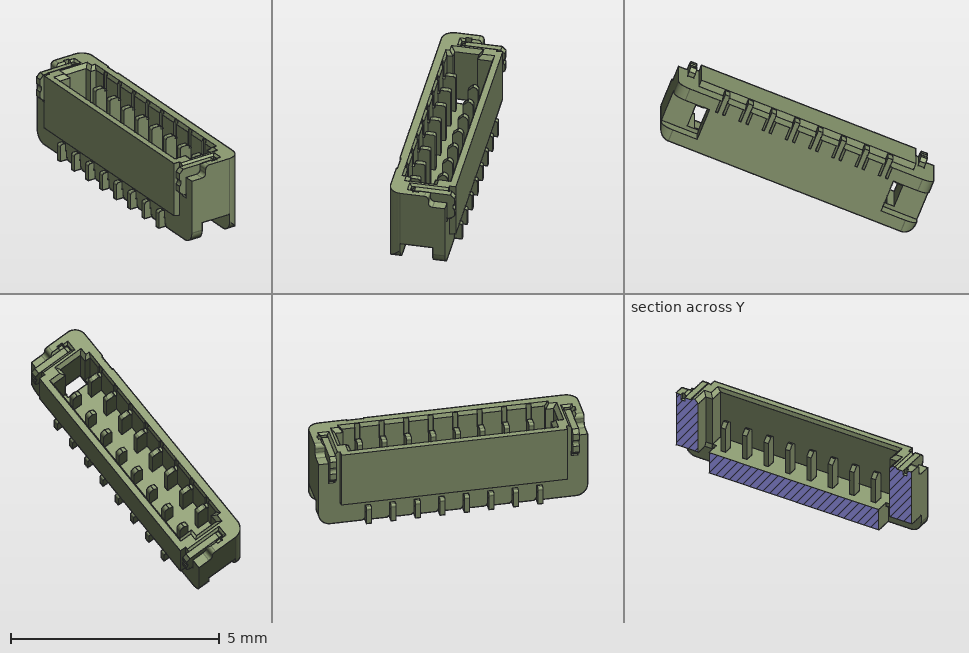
import cadquery as cq

length = 6.6
height = 2.0
half_length = length / 2
body_depth = 1.39
corner_radius = 0.3

shroud_depth = 1.55
shroud_half_length = 2.77
shroud_bottom = 0.595
shroud_bottom_draft = 0.03

cavity_floor = 0.6
cavity_half_length = 2.48
cavity_rear = 0.245
cavity_front = 1.35
end_recess_half_length = 2.67
end_recess_rear = 0.395
end_recess_front = 0.99
end_lead_in = 0.1
rear_lead_in = 0.045
front_lead_in = 0.04
lead_in_height = 0.1
end_lip_width = 0.04

notch_inner_x = 2.375
notch_top = 0.495
notch_rear = corner_radius
notch_front = 1.09

contact_count = 8
contact_pitch = 0.6
contact_width = 0.125
contact_round = 0.06
contact_root = 0.395
rear_contact_rear = 0.205
rear_contact_blade = 0.285
rear_contact_ledge_drop = 0.1
rear_contact_front = 0.55
rear_contact_top = 1.63
front_contact_rear = 0.85
front_contact_front = 1.095
front_contact_top = 1.385
front_contact_rise = 0.12
front_contact_round = 0.12

tail_front = 1.58
tail_top = 0.45
tail_rear_chamfer = 0.02
tail_gap = 0.025
tail_gap_bottom = 0.24
tail_flare = 0.06

tab_inner_x = 2.9
tab_outer_x = 3.055
tab_rear = 0.495
tab_top = 1.95
tab_bottom = 1.25
tab_chamfer = 0.1
tab_nick_depth = 0.04
tab_nick_top = 1.675
tab_nick_middle = 1.61
tab_nick_bottom = 1.51
tab_slot_bottom = 1.15
tab_slot_recess = 0.065
tab_slot_lead_in = 0.06
barb_outer_x = 3.16
barb_rear = 0.575
barb_front = 0.72
barb_relief_floor = 1.85

step_radius = 0.1
step_rear = 0.89
step_floor = 1.7

mark_left = -2.31
mark_right = -1.9
mark_depth = 0.025
mark_height = 0.1


def block(x0, x1, depth0, depth1, z0, z1):
    """Box between two x values, two depths and two heights."""
    return cq.Workplane("XY").box(x1 - x0, depth1 - depth0, z1 - z0, centered=False).translate((x0, -depth1, z0))


def side_profile(points, x0, x1):
    """Outline of (depth, z) points extruded from x0 to x1."""
    outline = [(-depth, z) for depth, z in points]
    return cq.Workplane("YZ", origin=(x0, 0, 0)).polyline(outline).close().extrude(x1 - x0)


def contact_sides(x):
    """Left and right side of a contact centred at x."""
    return x - contact_width / 2, x + contact_width / 2


def both_ends(solid):
    """The solid together with its mirror image at the other end."""
    return solid.union(solid.mirror("YZ"))


def flared_pocket(half_x, rear, front, grow_rear, grow_front):
    """Rectangular pocket with a sloped lead-in at the rim."""
    pocket = block(-half_x, half_x, rear, front, cavity_floor, height)
    rim_length = 2 * (half_x + end_lead_in)
    rim_width = front - rear + grow_rear + grow_front
    rim_shift = (grow_rear - grow_front) / 2
    lead_in = (
        cq.Workplane("XY", origin=(0, -(rear + front) / 2, height - lead_in_height))
        .rect(2 * half_x, front - rear)
        .workplane(offset=lead_in_height)
        .center(0, rim_shift)
        .rect(rim_length, rim_width)
        .loft(ruled=True)
    )
    return pocket.union(lead_in)


def make_housing():
    """Outer block, rounded at its rear uprights and along the lower end edges."""
    plan = block(-half_length, half_length, 0, body_depth, 0, height).edges("|Z and >Y").fillet(corner_radius)
    elevation = block(-half_length, half_length, 0, body_depth, 0, height).edges("|Y and <Z").fillet(corner_radius)
    shroud = side_profile(
        [
            (body_depth, shroud_bottom - shroud_bottom_draft),
            (shroud_depth, shroud_bottom),
            (shroud_depth, height),
            (body_depth, height),
        ],
        -shroud_half_length,
        shroud_half_length,
    )
    return plan.intersect(elevation).union(shroud)


def make_cavity():
    main = flared_pocket(cavity_half_length, cavity_rear, cavity_front, rear_lead_in, front_lead_in)
    ends = flared_pocket(end_recess_half_length, end_recess_rear, end_recess_front, end_lead_in, end_lead_in)
    return main.union(ends)


def make_end_lip():
    """Sloped lip at the bottom of the front wall of an end recess."""
    wedge = [
        (end_recess_front, notch_top),
        (end_recess_front, cavity_floor),
        (end_recess_front - end_lip_width, notch_top),
    ]
    return side_profile(wedge, -end_recess_half_length, -cavity_half_length)


def make_end_notch():
    """Notch through the end wall and the slot that joins it to the cavity."""
    notch = block(-half_length, -notch_inner_x, notch_rear, notch_front, 0, notch_top)
    slot = block(
        -end_recess_half_length, -notch_inner_x, end_recess_rear, end_recess_front, notch_top, cavity_floor
    )
    return notch.union(slot)


def make_corner_step():
    """Cut over the outer front corner: a convex round, a riser, then a concave round."""
    riser = step_rear + step_radius
    floor_start = riser + step_radius
    profile = (
        cq.Workplane("YZ", origin=(-half_length, 0, 0))
        .moveTo(-step_rear, height)
        .radiusArc((-riser, height - step_radius), -step_radius)
        .lineTo(-riser, step_floor + step_radius)
        .radiusArc((-floor_start, step_floor), step_radius)
        .lineTo(-body_depth, step_floor)
        .lineTo(-body_depth, height)
        .close()
    )
    return profile.extrude(half_length - tab_outer_x)


def make_tab_slot():
    """Opening around a tab: sloped rim, barb relief and a recess below the tab's front end."""
    slot_width = tab_outer_x - tab_inner_x
    slot_length = body_depth - tab_rear
    rim = (
        cq.Workplane("XY", origin=(-tab_outer_x, -body_depth, tab_top))
        .rect(slot_width, slot_length, centered=False)
        .workplane(offset=height - tab_top)
        .center(-tab_slot_lead_in, 0)
        .rect(slot_width + 2 * tab_slot_lead_in, slot_length + tab_slot_lead_in, centered=False)
        .loft(ruled=True)
    )
    rear_end = block(
        -tab_outer_x, -tab_inner_x, tab_rear, tab_rear + tab_chamfer, tab_top - tab_chamfer, tab_top
    )
    barb_relief = block(-barb_outer_x, -tab_outer_x, barb_rear, barb_front, barb_relief_floor, height)
    recess = block(
        -tab_outer_x, -tab_inner_x, body_depth - tab_slot_recess, body_depth, tab_slot_bottom, tab_bottom
    )
    return rim.union(rear_end).union(barb_relief).union(recess)


def nick_radius(rise):
    """Radius of an arc that climbs the given rise and is upright at the bottom of the nick."""
    return (rise**2 + tab_nick_depth**2) / (2 * tab_nick_depth)


def make_tab():
    """Plate with chamfered corners and a rounded nick in its front edge."""
    tab_inner_depth = body_depth - tab_slot_recess
    nick_floor = (-tail_front + tab_nick_depth, tab_nick_middle)
    profile = (
        cq.Workplane("YZ", origin=(-tab_outer_x, 0, 0))
        .moveTo(-tab_inner_depth, tab_bottom)
        .lineTo(-tab_rear, tab_bottom)
        .lineTo(-tab_rear, tab_top - tab_chamfer)
        .lineTo(-tab_rear - tab_chamfer, tab_top)
        .lineTo(-tail_front + tab_chamfer, tab_top)
        .lineTo(-tail_front, tab_top - tab_chamfer)
        .lineTo(-tail_front, tab_nick_top)
        .radiusArc(nick_floor, nick_radius(tab_nick_top - tab_nick_middle))
        .radiusArc((-tail_front, tab_nick_bottom), nick_radius(tab_nick_middle - tab_nick_bottom))
        .lineTo(-tail_front, tab_bottom + tab_chamfer)
        .lineTo(-tail_front + tab_chamfer, tab_bottom)
        .close()
    )
    return profile.extrude(tab_outer_x - tab_inner_x)


def make_rear_wall_groove(x):
    """Groove in the rear cavity wall above a rear contact."""
    return block(*contact_sides(x), rear_contact_rear, cavity_rear, cavity_floor, height)


def make_rear_contact(x):
    """Blade rounded along its top edges, joined to the rear wall by a lower ledge."""
    sides = contact_sides(x)
    blade = block(*sides, rear_contact_blade, rear_contact_front, contact_root, rear_contact_top)
    ledge_top = rear_contact_top - rear_contact_ledge_drop
    ledge = block(*sides, rear_contact_rear, rear_contact_blade, contact_root, ledge_top)
    return blade.edges("|X and >Z").fillet(contact_round).union(ledge)


def make_front_contact(x):
    """Post in the front half of the cavity with a fully sloped rear and a rounded front top edge."""
    post = block(*contact_sides(x), front_contact_rear, front_contact_front, contact_root, front_contact_top)
    post = post.edges("|X and >Z and >Y").chamfer(front_contact_rise)
    return post.edges("|X and <Y and >Z").fillet(front_contact_round)


def make_tail(x):
    """Solder tail against the housing front; its upper part stands clear of the wall."""
    foot = block(*contact_sides(x), body_depth, tail_front, 0, tail_gap_bottom)
    upright = block(*contact_sides(x), body_depth + tail_gap, tail_front, 0, tail_top)
    upright = upright.edges("|X and >Z and <Y").fillet(contact_round)
    upright = upright.edges("|X and >Z and >Y").chamfer(tail_rear_chamfer)
    return foot.union(upright)


def make_tail_flare(x):
    """Shallow V along the lower front edge of the housing, beside the root of a tail."""
    left, right = contact_sides(x)
    outline = [
        (left - tail_flare, 0),
        (left, tail_flare),
        (right, tail_flare),
        (right + tail_flare, 0),
    ]
    flare = cq.Workplane("XZ", origin=(0, -notch_front, 0)).polyline(outline).close()
    return flare.extrude(body_depth - notch_front).cut(
        block(left, right, notch_front, body_depth, 0, tail_flare)
    )


def make_rear_mark():
    return block(mark_left, mark_right, 0, mark_depth, height - mark_height, height)


housing = make_housing().cut(make_cavity())
for cut in (make_end_notch(), make_corner_step(), make_tab_slot()):
    housing = housing.cut(both_ends(cut))
housing = housing.cut(make_rear_mark()).union(both_ends(make_end_lip()))

result = housing.union(both_ends(make_tab()))
for index in range(contact_count):
    contact_x = (index - (contact_count - 1) / 2) * contact_pitch
    result = result.cut(make_rear_wall_groove(contact_x)).cut(make_tail_flare(contact_x))
    result = result.union(make_rear_contact(contact_x))
    result = result.union(make_front_contact(contact_x))
    result = result.union(make_tail(contact_x))